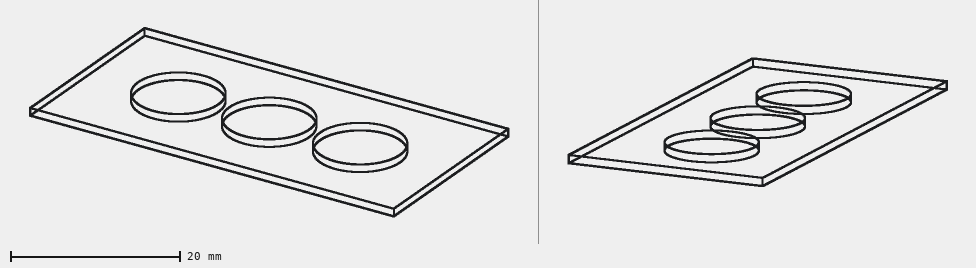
import cadquery as cq

length = 50.8
width = length / 2
thickness = 1.0

hole_count = 3
hole_diameter = 11.2
hole_pitch = length / 4

plate = cq.Workplane("XY").box(length, width, thickness)

result = (
    plate.faces(">Z")
    .workplane()
    .rarray(hole_pitch, 0.5, hole_count, 1)
    .hole(hole_diameter)
)